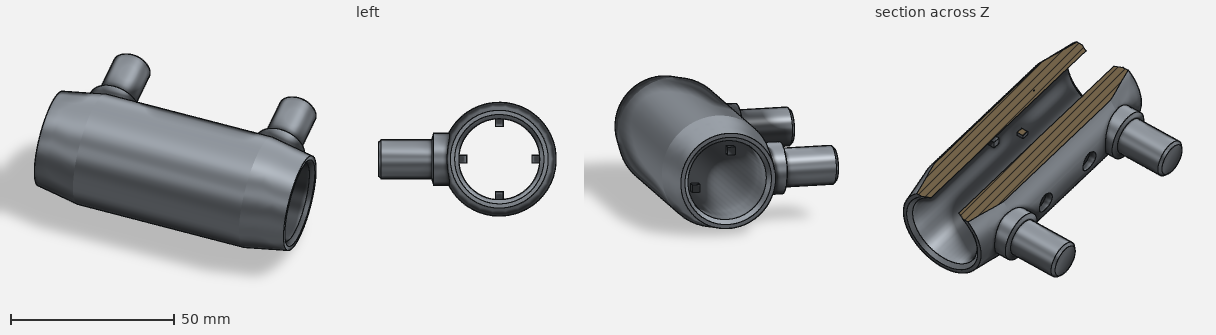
import cadquery as cq

length = 81
body_radius = 17.455
end_radius = 15.0
taper_length = 13.5
bore_radius = 12.4
bore_chamfer = 1.3

tab_width = 2.4
tab_height = 2.4
tab_count = 4
tab_root = 0.8

terminal_x = length / 2 - taper_length
terminal_root_y = 14.2
collar_radius = 8.0
collar_edge_y = 20.1
collar_top_y = 20.6
collar_top_radius = 6.4
pin_radius = 6.0
pin_tip_y = 54.5 - body_radius
tip_chamfer = 0.9

indicator_x = 11.0
indicator_radius = 3.2
indicator_depth = 2.4


def make_sleeve():
    """Revolved tube with conical ends and chamfered bore mouths."""
    half = length / 2
    taper_start = half - taper_length
    mouth_radius = bore_radius + bore_chamfer
    chamfer_x = half - bore_chamfer
    return (
        cq.Workplane("XY")
        .moveTo(-chamfer_x, bore_radius)
        .lineTo(-half, mouth_radius)
        .lineTo(-half, end_radius)
        .lineTo(-taper_start, body_radius)
        .lineTo(taper_start, body_radius)
        .lineTo(half, end_radius)
        .lineTo(half, mouth_radius)
        .lineTo(chamfer_x, bore_radius)
        .close()
        .revolve(360, (0, 0, 0), (1, 0, 0))
    )


def make_terminal(x):
    """Pin on a collar with a sloped shoulder, revolved about a line along Y."""
    return (
        cq.Workplane("XY")
        .moveTo(0, terminal_root_y)
        .lineTo(collar_radius, terminal_root_y)
        .lineTo(collar_radius, collar_edge_y)
        .lineTo(collar_top_radius, collar_top_y)
        .lineTo(pin_radius, collar_top_y)
        .lineTo(pin_radius, pin_tip_y - tip_chamfer)
        .lineTo(pin_radius - tip_chamfer, pin_tip_y)
        .lineTo(0, pin_tip_y)
        .close()
        .revolve(360, (0, 0, 0), (0, 1, 0))
        .translate((x, 0, 0))
    )


def make_tab(angle):
    """Square block reaching inward from the bore wall."""
    radial_size = tab_height + tab_root
    radial_centre = bore_radius + tab_root - radial_size / 2
    return (
        cq.Workplane("XY")
        .box(tab_width, radial_size, tab_width)
        .translate((0, radial_centre, 0))
        .rotate((0, 0, 0), (1, 0, 0), angle)
    )


def make_indicator_hole(x):
    """Cutter for a flat-bottomed hole sunk into the sleeve along -Y."""
    return (
        cq.Workplane("XZ", origin=(x, body_radius, 0))
        .circle(indicator_radius)
        .extrude(indicator_depth)
    )


result = make_sleeve()
for side in (-1, 1):
    result = result.union(make_terminal(side * terminal_x))
    result = result.cut(make_indicator_hole(side * indicator_x))
for index in range(tab_count):
    result = result.union(make_tab(index * 360 / tab_count))